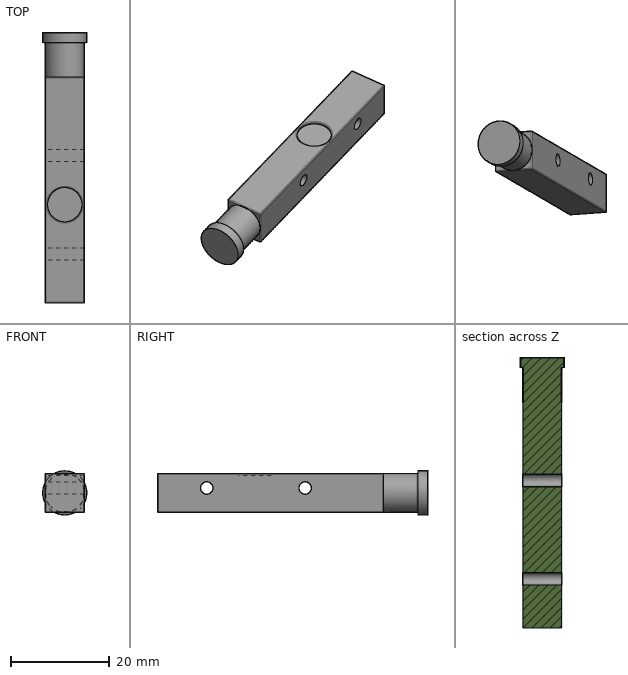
import cadquery as cq

total_length = 55.0
head_diameter = 9.0
head_length = 2.05
neck_length = 7.0
bar_width = 8.0
neck_diameter = bar_width
neck_root_radius = 0.15
bar_edge_radius = 0.2
bar_length = total_length - head_length - neck_length

recess_rim_diameter = 7.4
recess_rim_radius = 0.2
recess_diameter = recess_rim_diameter - 2 * recess_rim_radius
recess_depth = 0.5
recess_y = 20.0

cross_hole_diameter = 2.5
cross_hole_offset = 10.0
cross_hole_z = 1.0


def cylinder_along_y(diameter, start_y, length):
    """Cylinder on the bar axis, growing toward +Y from start_y."""
    plane = cq.Plane(origin=(0, start_y, 0), xDir=(1, 0, 0), normal=(0, 1, 0))
    return cq.Workplane(plane).circle(diameter / 2).extrude(length)


def cross_hole(y):
    """Cutter for a hole through the full width of the bar."""
    plane = cq.Plane(origin=(-bar_width, y, cross_hole_z), xDir=(0, 1, 0), normal=(1, 0, 0))
    return cq.Workplane(plane).circle(cross_hole_diameter / 2).extrude(2 * bar_width)


bar = (
    cq.Workplane("XY")
    .box(bar_width, bar_length, bar_width)
    .translate((0, bar_length / 2, 0))
    .edges()
    .fillet(bar_edge_radius)
)

neck = cylinder_along_y(neck_diameter, bar_length, neck_length)
head = cylinder_along_y(head_diameter, bar_length + neck_length, head_length)
turned_end = neck.union(head)
neck_root = turned_end.faces("<Y[1]").edges("%CIRCLE").edges(cq.selectors.RadiusNthSelector(0))
turned_end = neck_root.fillet(neck_root_radius)

recess = (
    cq.Workplane("XY")
    .workplane(offset=bar_width / 2 - recess_depth)
    .center(0, recess_y)
    .circle(recess_diameter / 2)
    .extrude(2 * recess_depth)
)
bar = bar.cut(recess).faces(">Z").edges("%CIRCLE").fillet(recess_rim_radius)

result = bar.union(turned_end)
for side in (-1, 1):
    result = result.cut(cross_hole(recess_y + side * cross_hole_offset))